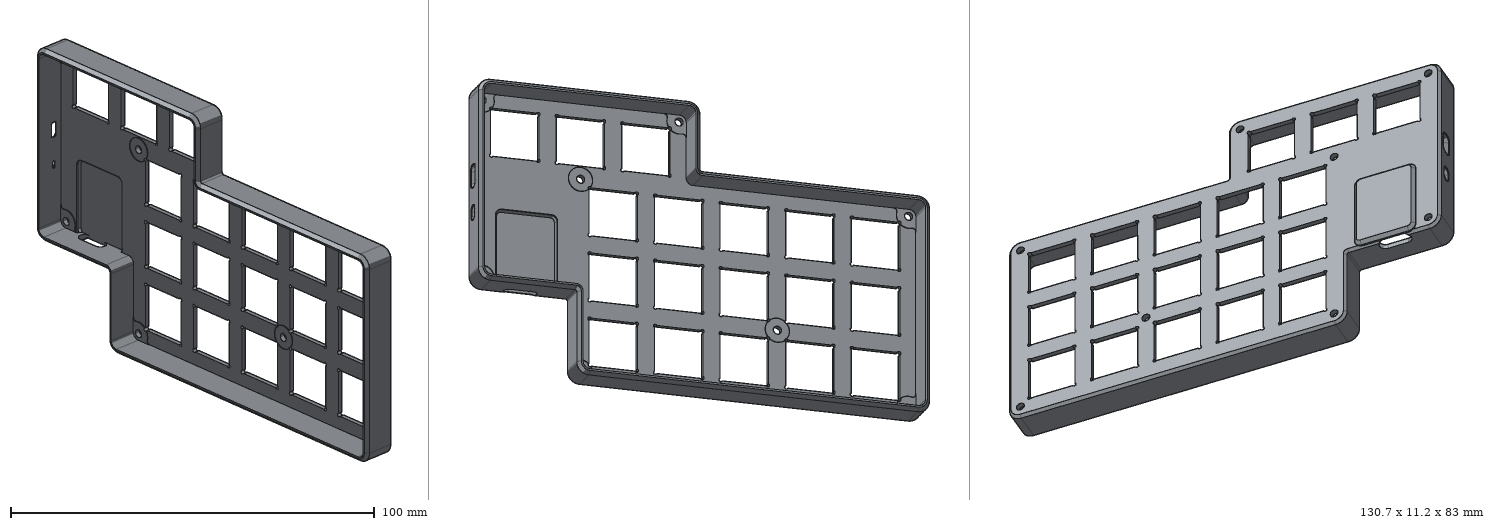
import cadquery as cq
import math


key_pitch = 19.0
key_hole = 14.0
relief_radius = 0.5
relief_inset = 0.2
main_columns = 5
main_rows = 3
top_columns = 3
top_row_gap = 1.0
column_stagger = 1.5 * key_pitch
side_margin = 3.6
end_margin = 3.0

body_depth = 10.0
wall = 1.5
plate_thickness = 1.4
outer_radius = 3.5
step_radius = 0.5
front_chamfer = 1.0
back_chamfer = 0.8
ledge_z = 24.4

screw_hole_diameter = 2.3
pad_radius = 3.5
pad_height = 0.2
pad_blend_radius = 1.0
upper_screw_z = 59.6

pocket_left = 7.6
pocket_right = 25.5
pocket_bottom = 25.2
pocket_top = 48.4
pocket_radius = 1.8
pocket_chamfer = 0.6
pocket_floor_thickness = 1.5
bump_height = 1.2
bump_margin = 0.3
bump_chamfer = 1.0

port_y = 5.8
port_radius = 1.6
port_chamfer = 1.2
large_port_width = 4.1
large_port_height = 6.8
large_port_z = 56.1
small_port_width = 3.3
small_port_height = 4.5
small_port_z = 45.4
slot_length = 9.6
slot_width = 3.4
slot_x = 14.4

overall_width = column_stagger + main_columns * key_pitch + 2 * side_margin
overall_height = (main_rows + 1) * key_pitch + top_row_gap + 2 * end_margin
top_block_right = top_columns * key_pitch + 2 * side_margin
main_block_left = column_stagger
main_block_top = main_rows * key_pitch + 2 * end_margin
plate_front = body_depth - plate_thickness
pad_front = plate_front - pad_height
bump_back = body_depth + bump_height
pocket_floor = bump_back - pocket_floor_thickness

tolerance = 0.001


def plane_at(y):
    """XZ plane at depth y. Its normal is -Y."""
    return cq.Workplane("XZ", origin=(0, y, 0))


def toward_back(sketch, depth):
    """Extrude an XZ sketch toward +Y."""
    return sketch.extrude(-depth)


def edges_at(block, places):
    """Edges along Y that pass through the given (x, z) places."""
    return [
        edge
        for edge in block.edges("|Y").vals()
        if any(math.hypot(edge.Center().x - x, edge.Center().z - z) < tolerance for x, z in places)
    ]


def stepped_block(inset, depth):
    """Block from y = 0 with the outer outline moved inward by inset, its corners rounded to match."""
    left = inset
    right = overall_width - inset
    bottom = inset
    top = overall_height - inset
    ledge_corner = (main_block_left + inset, ledge_z + inset)
    shoulder_corner = (top_block_right - inset, main_block_top - inset)
    inward_corners = [ledge_corner, shoulder_corner]
    outward_corners = [
        (left, ledge_corner[1]),
        (ledge_corner[0], bottom),
        (right, bottom),
        (right, shoulder_corner[1]),
        (shoulder_corner[0], top),
        (left, top),
    ]
    outline = (
        outward_corners[:1] + [ledge_corner] + outward_corners[1:4] + [shoulder_corner] + outward_corners[4:]
    )
    block = toward_back(plane_at(0).polyline(outline).close(), depth)
    block = block.newObject(edges_at(block, outward_corners)).fillet(outer_radius - inset)
    return block.newObject(edges_at(block, inward_corners)).fillet(step_radius + inset)


def case_body():
    """Tray with a closed back plate and an open front."""
    outer = stepped_block(0, body_depth)
    outer = outer.faces("<Y").chamfer(front_chamfer)
    outer = outer.faces(">Y").chamfer(back_chamfer)
    return outer.cut(stepped_block(wall, plate_front))


def key_centers():
    first_x = side_margin + key_pitch / 2
    first_z = end_margin + key_pitch / 2
    main_keys = [
        (first_x + column_stagger + column * key_pitch, first_z + row * key_pitch)
        for row in range(main_rows)
        for column in range(main_columns)
    ]
    top_z = overall_height - first_z
    top_keys = [(first_x + column * key_pitch, top_z) for column in range(top_columns)]
    return main_keys + top_keys


def key_holes():
    """Square cutters with a round relief at every corner."""
    centers = key_centers()
    reach = key_hole / 2 - relief_inset
    reliefs = [(x + i * reach, z + k * reach) for x, z in centers for i in (-1, 1) for k in (-1, 1)]
    squares = toward_back(plane_at(0).pushPoints(centers).rect(key_hole, key_hole), body_depth)
    rounds = toward_back(plane_at(0).pushPoints(reliefs).circle(relief_radius), body_depth)
    return squares.union(rounds)


def corner_screws():
    """Screw places in the six outward corners."""
    top = overall_height - outer_radius
    return [
        (side_margin, top),
        (top_block_right - side_margin, top),
        (side_margin, ledge_z + outer_radius),
        (main_block_left + side_margin, outer_radius),
        (overall_width - side_margin, outer_radius),
        (overall_width - side_margin, main_block_top - outer_radius),
    ]


def inner_screws():
    """Screw places between the keys."""
    first_x = main_block_left + side_margin
    return [
        (first_x, upper_screw_z),
        (first_x + top_columns * key_pitch, end_margin + key_pitch),
    ]


def pad_disks(places):
    return toward_back(plane_at(pad_front).pushPoints(places).circle(pad_radius), pad_height)


def corner_pads():
    """Low pads around the corner screws, blended into the side walls."""
    walls = stepped_block(0, body_depth).cut(stepped_block(wall, body_depth))
    layer = cq.Workplane("XY").box(overall_width, pad_height, overall_height, centered=False)
    layer = layer.translate((0, pad_front, 0))
    pads = walls.intersect(layer).union(pad_disks(corner_screws()).intersect(stepped_block(wall / 2, body_depth)))
    joints = [
        edge
        for edge in pads.edges("|Y").vals()
        if any(
            abs(math.hypot(edge.Center().x - x, edge.Center().z - z) - pad_radius) < tolerance
            for x, z in corner_screws()
        )
    ]
    return pads.newObject(joints).fillet(pad_blend_radius)


def screw_holes():
    places = corner_screws() + inner_screws()
    return toward_back(plane_at(0).pushPoints(places).circle(screw_hole_diameter / 2), body_depth)


def pocket_block(margin, y_front, y_back, back_edge_chamfer):
    """Rounded block on the pocket outline, grown by margin, with its back edge chamfered."""
    width = pocket_right - pocket_left + 2 * margin
    height = pocket_top - pocket_bottom + 2 * margin
    center = ((pocket_left + pocket_right) / 2, (pocket_bottom + pocket_top) / 2)
    block = toward_back(plane_at(y_front).center(*center).rect(width, height), y_back - y_front)
    return block.edges("|Y").fillet(pocket_radius + margin).faces(">Y").chamfer(back_edge_chamfer)


def bump():
    """Raised cover on the back of the plate."""
    return pocket_block(bump_margin, plate_front, bump_back, bump_chamfer)


def pocket():
    """Recess from the plate into the bump, ending at the inner face of the ledge wall."""
    ledge_wall = cq.Workplane("XY").box(overall_width, bump_back, ledge_z + wall, centered=False)
    return pocket_block(0, pad_front, pocket_floor, pocket_chamfer).cut(ledge_wall)


def side_port(width, height, z):
    """Cutter through the left wall, flared toward the outside."""
    port = cq.Workplane("YZ").center(port_y, z).rect(width, height).extrude(wall)
    return port.edges("|X").fillet(port_radius).faces(">X").chamfer(port_chamfer)


def ledge_slot():
    """Cutter through the ledge wall, with its back side flush with the pocket floor."""
    sketch = cq.Workplane("XY", origin=(slot_x, pocket_floor - slot_width / 2, ledge_z))
    return sketch.slot2D(slot_length, slot_width).extrude(wall)


result = case_body().union(bump()).union(corner_pads()).union(pad_disks(inner_screws()))
result = result.cut(pocket()).cut(key_holes()).cut(screw_holes()).cut(ledge_slot())
result = result.cut(side_port(large_port_width, large_port_height, large_port_z))
result = result.cut(side_port(small_port_width, small_port_height, small_port_z))